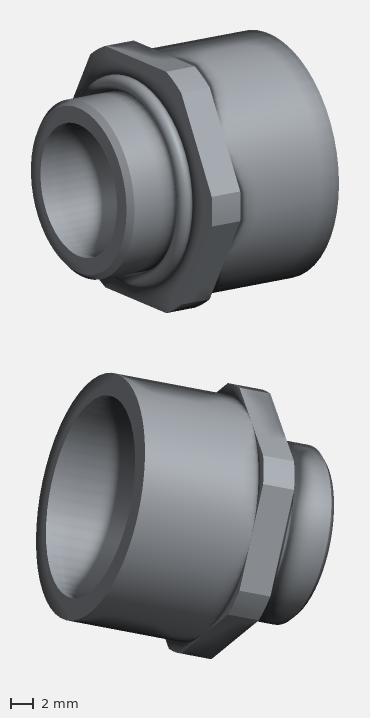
import cadquery as cq

total_length = 20.0
collar_length = 3.0
spigot_length = 6.0
body_length = total_length - collar_length - spigot_length

collar_diameter = 23.98
hex_sides = 6
half_sector = 180 / hex_sides
across_flats = 22.0
body_diameter = across_flats
spigot_diameter = 16.0
bore_diameter = 12.0
tip_chamfer = 0.5

socket_diameter = 17.98
bore_length = 7.99

ring_section = 1.41
ring_overlap = 0.012
ring_center_radius = (spigot_diameter + ring_section) / 2 - ring_overlap

collar_front = spigot_length
collar_back = collar_front + collar_length
ring_y = collar_front - ring_section / 2 + ring_overlap


def cylinder(diameter, start_y, length):
    """Solid cylinder about the Y axis, growing toward +Y."""
    plane = cq.Workplane("XZ", origin=(0, start_y, 0))
    return plane.circle(diameter / 2).extrude(-length)


def hex_collar():
    """Hexagon with flats facing +Z and -Z, its corners turned round."""
    hexagon = (
        cq.Workplane("XZ", origin=(0, collar_front, 0))
        .polygon(hex_sides, across_flats, circumscribed=True)
        .extrude(-collar_length)
        .rotate((0, 0, 0), (0, 1, 0), half_sector)
    )
    return hexagon.intersect(cylinder(collar_diameter, collar_front, collar_length))


def sealing_ring():
    """Round-section ring seated between the spigot and the collar."""
    return (
        cq.Workplane("XY")
        .center(ring_center_radius, ring_y)
        .circle(ring_section / 2)
        .revolve(360, (-ring_center_radius, 0), (-ring_center_radius, 1))
    )


body = cylinder(body_diameter, collar_back, body_length)
spigot = cylinder(spigot_diameter, 0, spigot_length).faces("<Y").chamfer(tip_chamfer)
bore = cylinder(bore_diameter, 0, total_length)
socket = cylinder(socket_diameter, bore_length, total_length - bore_length)

result = body.union(hex_collar()).union(spigot).union(sealing_ring()).cut(bore).cut(socket)